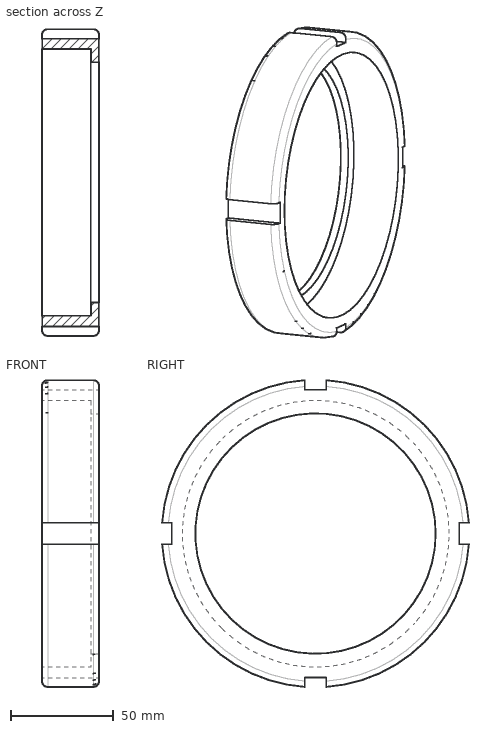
import cadquery as cq
import math

outer_span = 149.7
ring_width = 28.0
bore_diameter = 117.0
counterbore_diameter = 130.0
lip_width = 4.0
edge_radius = 3.0

slot_count = 4
slot_width = 10.3
slot_floor_radius = 70.2

outer_radius = math.hypot(outer_span / 2, slot_width / 2)
counterbore_depth = ring_width - lip_width


def make_ring():
    """Round-edged ring with a bore stepped wider from the -X face."""
    blank = (
        cq.Workplane("YZ", origin=(-ring_width / 2, 0, 0))
        .circle(outer_radius)
        .extrude(ring_width)
        .edges()
        .fillet(edge_radius)
    )
    bore = (
        cq.Workplane("YZ", origin=(-ring_width / 2, 0, 0))
        .circle(bore_diameter / 2)
        .extrude(ring_width)
    )
    counterbore = (
        cq.Workplane("YZ", origin=(-ring_width / 2, 0, 0))
        .circle(counterbore_diameter / 2)
        .extrude(counterbore_depth)
    )
    return blank.cut(bore).cut(counterbore)


def make_slot_cutter(angle):
    """Block that cuts one spanner slot across the full rim width."""
    cutter_height = outer_radius
    return (
        cq.Workplane("XY")
        .box(ring_width, slot_width, cutter_height)
        .translate((0, 0, slot_floor_radius + cutter_height / 2))
        .rotate((0, 0, 0), (1, 0, 0), angle)
    )


result = make_ring()
for index in range(slot_count):
    result = result.cut(make_slot_cutter(index * 360 / slot_count))